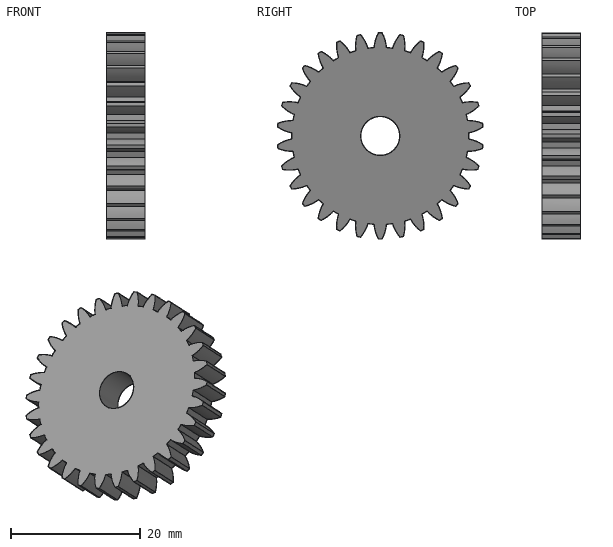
import cadquery as cq
import math

tip_diameter = 32.0
tooth_count = 30

addendum_in_modules = 1.0
dedendum_in_modules = 1.25
face_width_in_modules = 6
bore_diameter_in_modules = 6

tooth_root_width = 1.95
tooth_tip_width = 0.58
flank_radius = 6.0

module = tip_diameter / (tooth_count + 2 * addendum_in_modules)
face_width = face_width_in_modules * module
bore_diameter = bore_diameter_in_modules * module
tip_radius = tip_diameter / 2
root_radius = tip_radius - (addendum_in_modules + dedendum_in_modules) * module

tooth_pitch_angle = 2 * math.pi / tooth_count
root_half_angle = math.asin(tooth_root_width / 2 / root_radius)
tip_half_angle = math.asin(tooth_tip_width / 2 / tip_radius)
first_tooth_angle = math.pi / 2


def polar(radius, angle):
    """Point in the YZ plane at a radius and an angle from the Y axis."""
    return (radius * math.cos(angle), radius * math.sin(angle))


def add_tooth(outline, center):
    """Extend the outline over one tooth and along the root of the gap that follows it."""
    gap_center = center + tooth_pitch_angle / 2
    next_tooth_start = center + tooth_pitch_angle - root_half_angle
    return (
        outline
        .radiusArc(polar(tip_radius, center - tip_half_angle), -flank_radius)
        .threePointArc(polar(tip_radius, center), polar(tip_radius, center + tip_half_angle))
        .radiusArc(polar(root_radius, center + root_half_angle), -flank_radius)
        .threePointArc(polar(root_radius, gap_center), polar(root_radius, next_tooth_start))
    )


def gear_blank():
    """Solid toothed disc without the bore."""
    outline = cq.Workplane("YZ").moveTo(*polar(root_radius, first_tooth_angle - root_half_angle))
    for tooth in range(tooth_count):
        outline = add_tooth(outline, first_tooth_angle + tooth * tooth_pitch_angle)
    return outline.close().extrude(face_width)


bore = cq.Workplane("YZ").circle(bore_diameter / 2).extrude(face_width)
result = gear_blank().cut(bore)